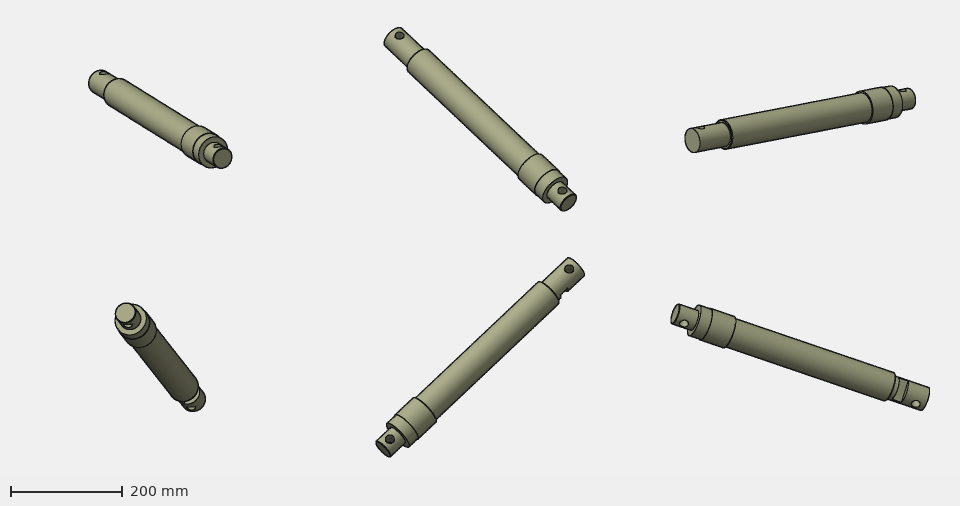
import cadquery as cq

total_length = 492.0
base_diameter = 44.0
base_length = 69.0
tube_diameter = 54.0
tube_end_chamfer = 1.5
collar_diameter = 60.0
collar_start = 386.0
collar_length = 46.0
gland_diameter = 58.0
gland_length = 22.0
rod_diameter = 38.0
rod_end_chamfer = 1.0
pin_hole_diameter = 16.0
pin_hole_inset = 17.5
keeper_slot_center = 51.0
keeper_slot_width = 18.0
keeper_slot_floor = 9.0

collar_end = collar_start + collar_length
gland_end = collar_end + gland_length
base_radius = base_diameter / 2
tube_radius = tube_diameter / 2
collar_radius = collar_diameter / 2
gland_radius = gland_diameter / 2
rod_radius = rod_diameter / 2


def turned(profile):
    """Revolve a closed (x, radius) profile about the X axis."""
    return cq.Workplane("XZ").polyline(profile).close().revolve(360, (0, 0, 0), (1, 0, 0))


def pin_hole(x):
    """Vertical cross hole through the axis at station x."""
    return cq.Workplane("XY").center(x, 0).circle(pin_hole_diameter / 2).extrude(collar_radius, both=True)


def keeper_slot():
    """Flat-bottomed slot across the base, cut at 45 degrees from the +Y, -Z side.

    The floor lies keeper_slot_floor from the axis.
    """
    slot_plane = cq.Plane(origin=(keeper_slot_center, 0, 0), xDir=(1, 0, 0), normal=(0, 1, -1))
    slot = cq.Workplane(slot_plane).workplane(offset=keeper_slot_floor)
    return slot.rect(keeper_slot_width, collar_diameter).extrude(base_radius)


def make_housing():
    """Slotted base stub, chamfered tube, collar and gland as one turned piece."""
    blank = turned([
        (0, 0),
        (0, base_radius),
        (base_length, base_radius),
        (base_length, tube_radius - tube_end_chamfer),
        (base_length + tube_end_chamfer, tube_radius),
        (collar_start, tube_radius),
        (collar_start, collar_radius),
        (collar_end, collar_radius),
        (collar_end, gland_radius),
        (gland_end, gland_radius),
        (gland_end, 0),
    ])
    return blank.cut(pin_hole(pin_hole_inset)).cut(keeper_slot())


def make_rod():
    """Chamfered rod end that butts against the gland face."""
    blank = turned([
        (gland_end, 0),
        (gland_end, rod_radius),
        (total_length - rod_end_chamfer, rod_radius),
        (total_length, rod_radius - rod_end_chamfer),
        (total_length, 0),
    ])
    return blank.cut(pin_hole(total_length - pin_hole_inset))


housing = make_housing()
rod = make_rod()

result = cq.Compound.makeCompound([housing.val(), rod.val()])